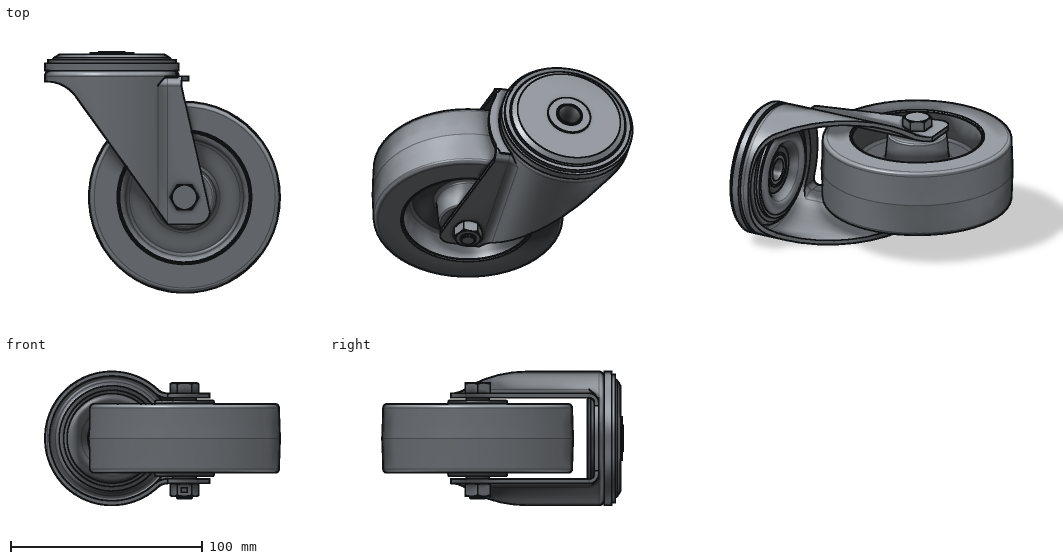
import cadquery as cq
import math


head_radius = 35.0
sheet = 2.4
cap_top = -1.3
cap_shoulder = -4.0
cap_rim_top = -5.9
cap_bottom = -9.8
cap_face_radius = 27.5
cap_edge_radius = 30.4
cap_edge_y = -3.1
cap_shoulder_inner_radius = 31.0
cap_shoulder_radius = 33.5

bore_radius = 5.9
bore_lip_radius = 6.8
stem_radius = 9.2
flange_radius = 11.3
flange_top = -0.4
cup_radius = 23.4
cup_side_end = -16.8
cup_crest_radius = 19.7
cup_crest = -18.6
cup_inner_radius = 16.0
cup_inner_y = -17.1
cup_floor_radius = 12.6
cup_floor = -13.2
stem_end = -13.7
lip_radius = 8.0
lip_bulge = 0.6

fork_half_width = 23.5
bend_radius = 7.5
plate_top = -12.7
plate_bottom = plate_top - sheet
head_edge_fillet = 2.9
arm_top_fillet = 5.0
collar_radius = 25.2
groove_radius = 1.5
groove_y = -12.1
plate_radius = 40.2
front_edge = -15.6
front_arc_radius = 18.3
arm_tip = -90.0
front_corner_x = -24.5
arm_front_x = 29.1
arm_rear_top_x = 36.4
arm_rear_top_y = -18.0
arm_rear_x = 52.7
arm_corner_radius = 6.3

axle_x = 37.9
wheel_radius = 50.0
axle_y = wheel_radius - 126
tyre_side_radius = 49.4
tyre_half_width = 18.0
tyre_fillet = 2.1
tyre_bore = 34.4
tyre_chamfer = 0.8
rim_setback = tyre_chamfer
rim_inner_radius = 33.9
rim_foot_radius = 30.4
web_half = 4.7
web_fillet = 1.9
hub_radius = 15.4
hub_foot_radius = 16.8
hub_half = 19.9
hub_edge_fillet = 1.0

bush_radius = 6.0
bolt_radius = 4.0
hex_flats = 13.0
hex_corners = hex_flats / math.cos(math.pi / 6)
head_height = 5.4
nut_height = 6.7
bolt_end = -31.6
bolt_end_chamfer = 0.6
mark_width = 3.1
mark_height = 2.4
mark_depth = 0.5
mark_z = -27.0

fork_inner_half = fork_half_width - sheet


def turned(outline):
    """Revolve an outline about the vertical axis of its own sketch plane."""
    return outline.close().revolve(360, (0, 0, 0), (0, 1, 0))


def wheel_plane():
    """Sketch plane through the axle: first coordinate radial, second along Z."""
    return cq.Workplane("XZ", origin=(axle_x, axle_y, 0))


def make_cap():
    return turned(
        cq.Workplane("XY")
        .moveTo(stem_radius, cap_top)
        .lineTo(cap_face_radius, cap_top)
        .lineTo(cap_edge_radius, cap_edge_y)
        .lineTo(cap_shoulder_inner_radius, cap_shoulder)
        .lineTo(cap_shoulder_radius, cap_shoulder)
        .lineTo(cap_shoulder_radius, cap_rim_top)
        .lineTo(head_radius, cap_rim_top)
        .lineTo(head_radius, cap_bottom)
        .lineTo(stem_radius, cap_bottom)
    )


def make_kingpin():
    lip_mid = (bore_radius + lip_radius) / 2
    return turned(
        cq.Workplane("XY")
        .moveTo(bore_radius, 0)
        .lineTo(bore_lip_radius, 0)
        .lineTo(bore_lip_radius, flange_top)
        .lineTo(flange_radius, flange_top)
        .lineTo(flange_radius, cap_top)
        .lineTo(stem_radius, cap_top)
        .lineTo(stem_radius, cap_bottom)
        .lineTo(cup_radius, cap_bottom)
        .lineTo(cup_radius, cup_side_end)
        .threePointArc((cup_crest_radius, cup_crest), (cup_inner_radius, cup_inner_y))
        .lineTo(cup_floor_radius, cup_floor)
        .lineTo(stem_radius, cup_floor)
        .lineTo(stem_radius, stem_end)
        .lineTo(lip_radius, stem_end)
        .threePointArc((lip_mid, stem_end - lip_bulge), (bore_radius, stem_end))
    )


def fork_prism(radius, half_width, bend, top, top_fillet):
    """Round drum running into a channel of two parallel arms through reversed bends."""
    end_x = 2 * head_radius
    bend_z = half_width + bend
    bend_x = math.sqrt((radius + bend) ** 2 - bend_z**2)
    touch_x = bend_x * radius / (radius + bend)
    touch_z = bend_z * radius / (radius + bend)
    mid_angle = math.atan2(bend_x, bend_z) / 2
    mid_x = bend_x - bend * math.sin(mid_angle)
    mid_z = bend_z - bend * math.cos(mid_angle)
    plane = cq.Workplane("XZ", origin=(0, top, 0))
    drum = plane.circle(radius).extrude(top - arm_tip)
    channel = (
        plane
        .moveTo(end_x, half_width)
        .lineTo(bend_x, half_width)
        .threePointArc((mid_x, mid_z), (touch_x, touch_z))
        .lineTo(touch_x, -touch_z)
        .threePointArc((mid_x, -mid_z), (bend_x, -half_width))
        .lineTo(end_x, -half_width)
        .close()
        .extrude(top - arm_tip)
        .faces(">Y").edges("not (>X or <X)").fillet(top_fillet)
    )
    return drum.union(channel)


def side_profile():
    """Outline of the arms seen along the axle, as a block across the whole fork."""
    slope = math.atan2(front_edge - arm_tip, arm_front_x - front_corner_x)
    tangent = front_arc_radius * math.tan(slope / 2)
    arc_start = front_corner_x - tangent
    arc_end = (front_corner_x + tangent * math.cos(slope), front_edge - tangent * math.sin(slope))
    arc_mid = (
        arc_start + front_arc_radius * math.sin(slope / 2),
        front_edge - front_arc_radius * (1 - math.cos(slope / 2)),
    )
    return (
        cq.Workplane("XY", origin=(0, 0, -head_radius))
        .moveTo(-head_radius, plate_top)
        .lineTo(-head_radius, front_edge)
        .lineTo(arc_start, front_edge)
        .threePointArc(arc_mid, arc_end)
        .lineTo(arm_front_x, arm_tip)
        .lineTo(arm_rear_x, arm_tip)
        .lineTo(arm_rear_top_x, arm_rear_top_y)
        .lineTo(arm_rear_top_x, plate_top)
        .close()
        .extrude(2 * head_radius)
        .edges("|Z and >X")
        .fillet(arm_corner_radius)
    )


def make_plate_between_arms():
    """Top plate that reaches out behind the arms with a round rear edge."""
    size = 4 * head_radius
    between_arms = cq.Workplane("XY").box(size, size, 2 * fork_inner_half)
    rear_half = cq.Workplane("XY").box(2 * plate_radius, size, size).translate((plate_radius, 0, 0))
    return (
        cq.Workplane("XZ", origin=(0, plate_top, 0))
        .circle(plate_radius)
        .extrude(sheet)
        .intersect(between_arms)
        .intersect(rear_half)
    )


def make_groove():
    """Ring cut under the head: a round groove and a curved foot down to the collar."""
    wall = head_radius - sheet
    inner = wall - 2 * groove_radius
    foot_width = inner - collar_radius
    foot_drop = groove_y - plate_bottom
    foot_radius = (foot_width**2 + foot_drop**2) / (2 * foot_width)
    foot_half_angle = math.atan2(foot_width, foot_drop)
    foot_mid = (
        inner - foot_radius * (1 - math.cos(foot_half_angle)),
        groove_y - foot_radius * math.sin(foot_half_angle),
    )
    return turned(
        cq.Workplane("XY")
        .moveTo(wall, plate_bottom - sheet)
        .lineTo(wall, groove_y)
        .threePointArc((wall - groove_radius, groove_y + groove_radius), (inner, groove_y))
        .threePointArc(foot_mid, (collar_radius, plate_bottom))
        .lineTo(collar_radius, plate_bottom - sheet)
    )


def make_fork():
    outside = fork_prism(
        head_radius, fork_half_width, bend_radius, plate_top, arm_top_fillet
    ).intersect(side_profile())
    inside = fork_prism(
        head_radius - sheet,
        fork_inner_half,
        bend_radius + sheet,
        plate_bottom,
        arm_top_fillet - sheet,
    )
    head = (
        cq.Workplane("XZ", origin=(0, cap_bottom, 0))
        .circle(head_radius)
        .extrude(cap_bottom - plate_bottom)
        .faces(">Y").edges().fillet(head_edge_fillet)
    )
    collar = (
        cq.Workplane("XZ", origin=(0, plate_bottom, 0))
        .circle(collar_radius)
        .extrude(plate_bottom - cup_side_end)
    )
    cup_hole = cq.Workplane("XZ").circle(cup_radius).extrude(head_radius)
    bolt_hole = axle_plane(-head_radius).circle(bolt_radius).extrude(2 * head_radius)
    shell = outside.cut(inside).union(head).union(make_plate_between_arms())
    return shell.cut(make_groove()).union(collar).cut(cup_hole).cut(bolt_hole)


def make_tyre():
    """Tyre with a crown of two shallow cones that meet at mid width."""
    tyre = turned(
        wheel_plane()
        .moveTo(tyre_bore, -tyre_half_width)
        .lineTo(tyre_side_radius, -tyre_half_width)
        .lineTo(wheel_radius, 0)
        .lineTo(tyre_side_radius, tyre_half_width)
        .lineTo(tyre_bore, tyre_half_width)
    )
    outer = cq.selectors.RadiusNthSelector(1)
    inner = cq.selectors.RadiusNthSelector(0)
    tyre = tyre.faces("|Z").edges(outer).fillet(tyre_fillet)
    return tyre.faces("|Z").edges(inner).chamfer(tyre_chamfer)


def make_wheel_core():
    rim_z = tyre_half_width - rim_setback

    def half(sign):
        return [
            (hub_foot_radius, sign * web_half),
            (rim_foot_radius, sign * web_half),
            (rim_inner_radius, sign * rim_z),
            (tyre_bore, sign * rim_z),
        ]

    points = [(bush_radius, hub_half), (hub_radius, hub_half)] + half(1)
    points += half(-1)[::-1] + [(hub_radius, -hub_half), (bush_radius, -hub_half)]
    core = turned(wheel_plane().polyline(points))
    margin = 0.1
    reach = rim_foot_radius + margin
    web_edges = cq.selectors.BoxSelector(
        (axle_x - reach, axle_y - reach, -web_half - margin),
        (axle_x + reach, axle_y + reach, web_half + margin),
    )
    core = core.edges(web_edges).fillet(web_fillet)
    return core.faces("<Z or >Z").edges(cq.selectors.RadiusNthSelector(1)).fillet(hub_edge_fillet)


def axle_plane(z):
    return cq.Workplane("XY", origin=(axle_x, axle_y, z))


def make_bush():
    return axle_plane(-fork_inner_half).circle(bush_radius).circle(bolt_radius).extrude(2 * fork_inner_half)


def corner_cone(z, height, both_ends):
    """Cylinder with 30 degree end cones that trims the corners of a hexagon."""
    inset = (hex_corners - hex_flats) / 2
    rise = inset * math.tan(math.pi / 6)
    blank = axle_plane(z).circle(hex_corners / 2).extrude(height)
    ends = "<Z or >Z" if both_ends else ">Z"
    return blank.faces(ends).edges().chamfer(rise, inset)


def make_bolt():
    head = (
        axle_plane(fork_half_width)
        .polygon(6, hex_corners)
        .extrude(head_height)
        .intersect(corner_cone(fork_half_width, head_height, False))
    )
    shank = (
        axle_plane(bolt_end)
        .circle(bolt_radius)
        .extrude(fork_half_width - bolt_end)
        .faces("<Z").chamfer(bolt_end_chamfer)
    )
    return head.union(shank)


def make_nut():
    """Hexagon nut with a shallow rectangular mark on its -Y flat."""
    z = -fork_half_width - nut_height
    mark = axle_plane(mark_z).center(0, -hex_flats / 2).box(mark_width, 2 * mark_depth, mark_height)
    return (
        axle_plane(z)
        .polygon(6, hex_corners)
        .extrude(nut_height)
        .intersect(corner_cone(z, nut_height, True))
        .cut(axle_plane(z).circle(bolt_radius).extrude(nut_height))
        .cut(mark)
    )


cap = make_cap()
kingpin = make_kingpin()
fork = make_fork()
tyre = make_tyre()
wheel_core = make_wheel_core()
bush = make_bush()
bolt = make_bolt()
nut = make_nut()

bodies = [cap, kingpin, fork, tyre, wheel_core, bush, bolt, nut]
result = cq.Compound.makeCompound([body.val() for body in bodies])